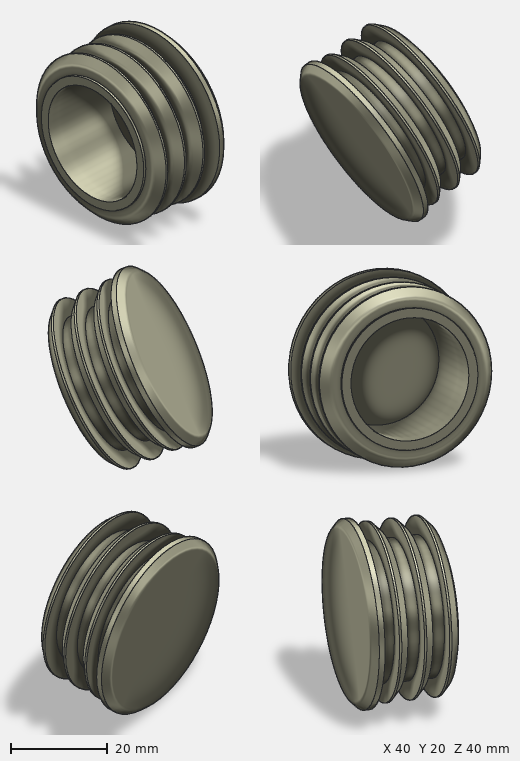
import cadquery as cq

flange_radius = 20.0
length = 20.0
flange_thickness = 2.75
flange_bevel = 1.5
body_radius = 15.0
bore_radius = 13.0
floor_thickness = 2.0

fin_count = 3
fin_radius = 19.0
fin_thickness = 2.45
fin_rim = 0.5
fin_bevel = fin_thickness - fin_rim
fin_pitch = 5.4
first_fin_depth = 6.15

flange_rounding = 1.0
fin_rounding = 1.4

closed_end = length / 2
open_end = -length / 2


def disc(radius, y_start, thickness):
    """Solid disc on the Y axis, growing from y_start toward -Y."""
    return cq.Workplane("XZ", origin=(0, y_start, 0)).circle(radius).extrude(thickness)


def beveled_disc(radius, y_start, thickness, bevel, rounding, bevel_side):
    """Disc with a 45 degree bevel, rounded where it meets the end face on bevel_side."""
    beveled = disc(radius, y_start, thickness).faces(bevel_side).chamfer(bevel)
    return beveled.faces(bevel_side).edges().fillet(rounding)


plug = disc(body_radius, closed_end, length)

flange = beveled_disc(flange_radius, closed_end, flange_thickness, flange_bevel, flange_rounding, ">Y")
plug = plug.union(flange)

for index in range(fin_count):
    fin_back = closed_end - first_fin_depth - index * fin_pitch
    fin = beveled_disc(fin_radius, fin_back, fin_thickness, fin_bevel, fin_rounding, "<Y")
    plug = plug.union(fin)

bore_start = closed_end - floor_thickness
bore = disc(bore_radius, bore_start, bore_start - open_end)

result = plug.cut(bore)